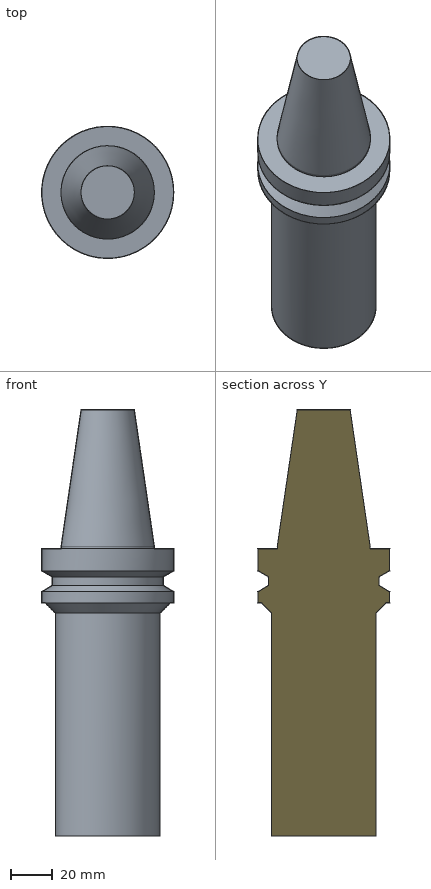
import cadquery as cq

total_length = 203.5
body_top = 106.4
lower_rim_bottom = 111.3
lower_rim_top = 116.5
groove_bottom = 119.5
groove_top = 123.7
upper_rim_bottom = 126.5
flange_top = 137.0
taper_bottom = 138.1

body_diameter = 50.0
flange_diameter = 63.0
rim_cone_diameter = body_diameter + 2 * (lower_rim_bottom - body_top)
groove_diameter = 53.0
taper_large_diameter = 44.5
taper_small_diameter = 25.5

section = [
    (body_diameter, 0),
    (body_diameter, body_top),
    (rim_cone_diameter, lower_rim_bottom),
    (flange_diameter, lower_rim_bottom),
    (flange_diameter, lower_rim_top),
    (groove_diameter, groove_bottom),
    (groove_diameter, groove_top),
    (flange_diameter, upper_rim_bottom),
    (flange_diameter, flange_top),
    (taper_large_diameter, flange_top),
    (taper_large_diameter, taper_bottom),
    (taper_small_diameter, total_length),
]

half_outline = [(0, 0)]
half_outline += [(diameter / 2, height) for diameter, height in section]
half_outline += [(0, total_length)]

result = cq.Workplane("XZ").polyline(half_outline).close().revolve(360, (0, 0), (0, 1))